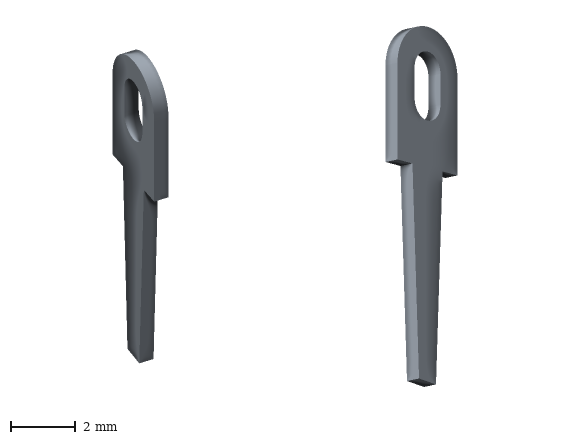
import cadquery as cq

total_length = 11.34
head_width = 2.8
thickness = 0.5
head_radius = head_width / 2

shoulder_z = 6.85
head_center_z = total_length - head_radius

shank_top_width = 1.41
tip_width = 0.79
tip_rise = 0.05

slot_width = 1.2
slot_length = 2.2
slot_center_z = 9.45


def plate():
    """Outline of head and shank, extruded symmetrically about the XZ plane."""
    return (
        cq.Workplane("XZ")
        .moveTo(-tip_width / 2, tip_rise)
        .lineTo(tip_width / 2, 0)
        .lineTo(shank_top_width / 2, shoulder_z)
        .lineTo(head_radius, shoulder_z)
        .lineTo(head_radius, head_center_z)
        .threePointArc((0, total_length), (-head_radius, head_center_z))
        .lineTo(-head_radius, shoulder_z)
        .lineTo(-shank_top_width / 2, shoulder_z)
        .close()
        .extrude(thickness / 2, both=True)
    )


def slot():
    """Round-ended cutter for the slot, long along Z."""
    return (
        cq.Workplane("XZ")
        .center(0, slot_center_z)
        .slot2D(slot_length, slot_width, 90)
        .extrude(thickness, both=True)
    )


result = plate().cut(slot())